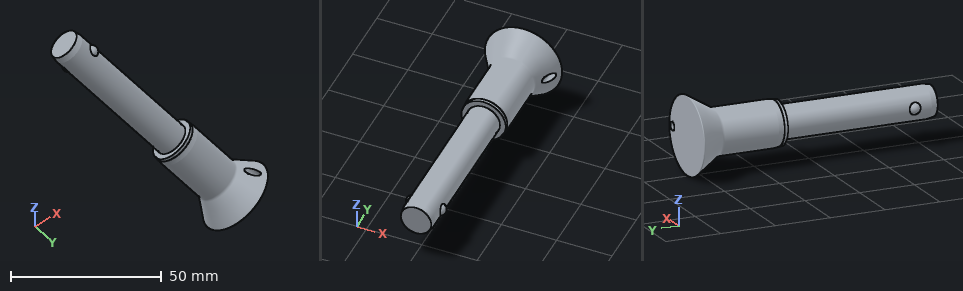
import cadquery as cq
import math

length = 89.1
head_y = length / 2
tip_y = -length / 2

head_radius = 14.0
rim_radius = 0.3
flare_depth = 9.3
blend_depth = 10.3
flare_end_radius = 8.55

sleeve_radius = 8.3
sleeve_depth = 29.9
taper_depth = 32.1
taper_end_radius = 8.1
collar_radius = 8.0
collar_depth = 33.3

shank_radius = 6.0
tip_radius = 5.5
tip_length = 2.4

ball_radius = 2.2
ball_reach = 7.2
ball_from_tip = 8.5
ring_hole_diameter = 3.0
ring_hole_x = 11.2


def pin_body():
    """Revolve the half profile of head, sleeve, collar and shank about Y."""
    rim_x = head_radius - rim_radius
    rim_y = head_y - rim_radius
    run = rim_x - flare_end_radius
    drop = rim_y - (head_y - flare_depth)
    cone_angle = math.atan2(run, drop) - math.asin(rim_radius / math.hypot(run, drop))
    rim_end = (
        rim_x + rim_radius * math.cos(cone_angle),
        rim_y - rim_radius * math.sin(cone_angle),
    )
    rim_middle_angle = (math.pi / 2 - cone_angle) / 2
    rim_middle = (
        rim_x + rim_radius * math.cos(rim_middle_angle),
        rim_y + rim_radius * math.sin(rim_middle_angle),
    )
    return (
        cq.Workplane("XY")
        .moveTo(0, head_y)
        .lineTo(rim_x, head_y)
        .threePointArc(rim_middle, rim_end)
        .lineTo(flare_end_radius, head_y - flare_depth)
        .tangentArcPoint((sleeve_radius, head_y - blend_depth), relative=False)
        .lineTo(sleeve_radius, head_y - sleeve_depth)
        .lineTo(taper_end_radius, head_y - taper_depth)
        .lineTo(collar_radius, head_y - taper_depth)
        .lineTo(collar_radius, head_y - collar_depth)
        .lineTo(shank_radius, head_y - collar_depth)
        .lineTo(shank_radius, tip_y + tip_length)
        .lineTo(tip_radius, tip_y)
        .lineTo(0, tip_y)
        .close()
        .revolve(360, (0, 0, 0), (0, 1, 0))
    )


def locking_balls():
    """Two balls standing out of opposite sides of the shank."""
    ball_x = ball_reach - ball_radius
    return (
        cq.Workplane("XY")
        .pushPoints([(side * ball_x, tip_y + ball_from_tip) for side in (-1, 1)])
        .sphere(ball_radius)
    )


def ring_hole():
    """Keyring hole through the flare, parallel to the pin axis."""
    return (
        cq.Workplane("XZ", origin=(ring_hole_x, head_y, 0))
        .circle(ring_hole_diameter / 2)
        .extrude(blend_depth)
    )


result = pin_body().union(locking_balls()).cut(ring_hole())